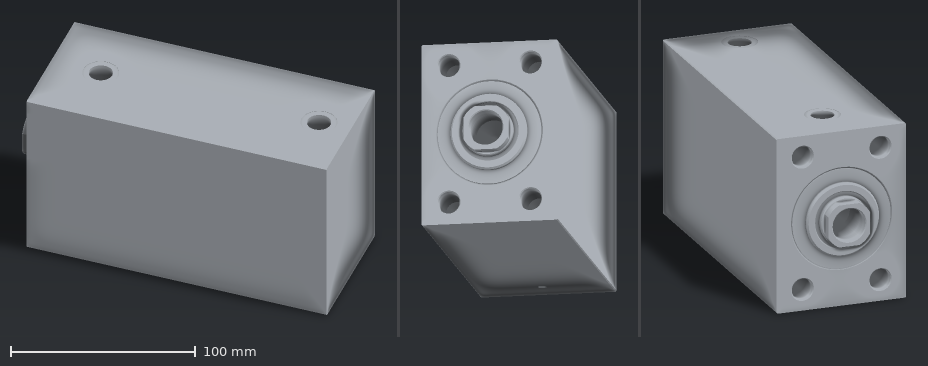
import cadquery as cq
import math


TOTAL_LENGTH = 185.0
ROD_REACH = 12.0
HOUSING_LENGTH = TOTAL_LENGTH - ROD_REACH
HOUSING_WIDTH = 75.0
HOUSING_HEIGHT = 100.0
HOUSING_EDGE_CHAMFER = 0.5
TOP_Z = HOUSING_HEIGHT / 2

MOUNT_SPACING_Y = 45.0
MOUNT_SPACING_Z = 75.8
MOUNT_DIAMETER = 12.0
MOUNT_CHAMFER = 0.5
MOUNT_DEPTH = 25.0
DRILL_POINT_ANGLE = 118.0

PORT_FRONT_X = 28.9
PORT_REAR_INSET = 18.3
PORT_REAR_X = HOUSING_LENGTH - PORT_REAR_INSET
SPOTFACE_DIAMETER = 20.0
SPOTFACE_DEPTH = 0.2
PORT_DIAMETER = 13.1
PORT_DEPTH = 12.0
OIL_HOLE_DIAMETER = 5.0

GLAND_DIAMETER = 57.0
GLAND_DEPTH = 22.2
GLAND_BORE_CHAMFER = 1.0
COLLAR_DIAMETER = 42.0
COLLAR_LENGTH = 3.0
COLLAR_CHAMFER = 1.0
WIPER_DIAMETER = 32.2
WIPER_DEPTH = 1.0
WIPER_CHAMFER = 0.5

ROD_DIAMETER = 28.0
ROD_CHAMFER = 0.5
ROD_TIP_DIAMETER = ROD_DIAMETER - 2 * ROD_CHAMFER
ROD_TIP_LENGTH = 6.0
ROD_ACROSS_FLATS = 24.0
ROD_END_X = 138.8
THREAD_HOLE_DIAMETER = 18.9
THREAD_HOLE_DEPTH = 24.0
THREAD_HOLE_CHAMFER = 0.5


def cylinder_x(diameter, start_x, end_x):
    """Cylinder on the X axis between two X positions."""
    return cq.Workplane("YZ", origin=(start_x, 0, 0)).circle(diameter / 2).extrude(end_x - start_x)


def drilled_hole(diameter, start_x, depth, chamfer):
    """Blind drilled hole along +X on the X axis, with a chamfered mouth and a conical bottom."""
    radius = diameter / 2
    point_length = radius / math.tan(math.radians(DRILL_POINT_ANGLE / 2))
    profile = [
        (start_x, 0),
        (start_x, radius + chamfer),
        (start_x + chamfer, radius),
        (start_x + depth, radius),
        (start_x + depth + point_length, 0),
    ]
    return cq.Workplane("XY").polyline(profile).close().revolve(360, (0, 0), (1, 0))


def port_cut(x, bottom_z):
    """Spotface, threaded port and oil hole, cut down from the top face to bottom_z."""
    steps = (
        (SPOTFACE_DIAMETER, SPOTFACE_DEPTH),
        (PORT_DIAMETER, PORT_DEPTH),
        (OIL_HOLE_DIAMETER, TOP_Z - bottom_z),
    )
    cut = cq.Workplane("XY")
    for diameter, depth in steps:
        step = cq.Workplane("XY", origin=(x, 0, TOP_Z)).circle(diameter / 2).extrude(-depth)
        cut = cut.union(step)
    return cut


def make_housing():
    block = cq.Workplane("XY").box(
        HOUSING_LENGTH, HOUSING_WIDTH, HOUSING_HEIGHT, centered=(False, True, True)
    )
    block = block.edges("|X").chamfer(HOUSING_EDGE_CHAMFER)

    block = block.cut(cylinder_x(GLAND_DIAMETER, 0, GLAND_DEPTH))
    block = block.faces("<X").edges(cq.selectors.RadiusNthSelector(0)).chamfer(GLAND_BORE_CHAMFER)
    block = block.cut(cylinder_x(ROD_DIAMETER, GLAND_DEPTH, ROD_END_X))

    mount_hole = drilled_hole(MOUNT_DIAMETER, 0, MOUNT_DEPTH, MOUNT_CHAMFER)
    for side_y in (-1, 1):
        for side_z in (-1, 1):
            offset = (0, side_y * MOUNT_SPACING_Y / 2, side_z * MOUNT_SPACING_Z / 2)
            block = block.cut(mount_hole.translate(offset))

    block = block.cut(port_cut(PORT_FRONT_X, 0))
    block = block.cut(port_cut(PORT_REAR_X, -TOP_Z))
    return block


def make_gland():
    front_x = -COLLAR_LENGTH
    collar = cylinder_x(COLLAR_DIAMETER, front_x, 0).faces("<X").chamfer(COLLAR_CHAMFER)
    gland = cylinder_x(GLAND_DIAMETER, 0, GLAND_DEPTH).union(collar)
    gland = gland.cut(cylinder_x(ROD_DIAMETER, front_x, GLAND_DEPTH))

    gland = gland.cut(cylinder_x(WIPER_DIAMETER, front_x, front_x + WIPER_DEPTH))
    return gland.faces("<X").edges(cq.selectors.RadiusNthSelector(0)).chamfer(WIPER_CHAMFER)


def make_rod():
    tip_x = -ROD_REACH
    shoulder_x = tip_x + ROD_TIP_LENGTH
    shank = cylinder_x(ROD_DIAMETER, shoulder_x, ROD_END_X).faces("<X").chamfer(ROD_CHAMFER)

    flats = cq.Workplane("YZ", origin=(tip_x, 0, 0))
    flats = flats.rect(ROD_ACROSS_FLATS, ROD_ACROSS_FLATS).extrude(ROD_TIP_LENGTH)
    tip = cylinder_x(ROD_TIP_DIAMETER, tip_x, shoulder_x).intersect(flats)

    rod = shank.union(tip)
    thread_hole = drilled_hole(THREAD_HOLE_DIAMETER, tip_x, THREAD_HOLE_DEPTH, THREAD_HOLE_CHAMFER)
    return rod.cut(thread_hole)


housing = make_housing()
gland = make_gland()
rod = make_rod()

result = cq.Compound.makeCompound([housing.val(), gland.val(), rod.val()])